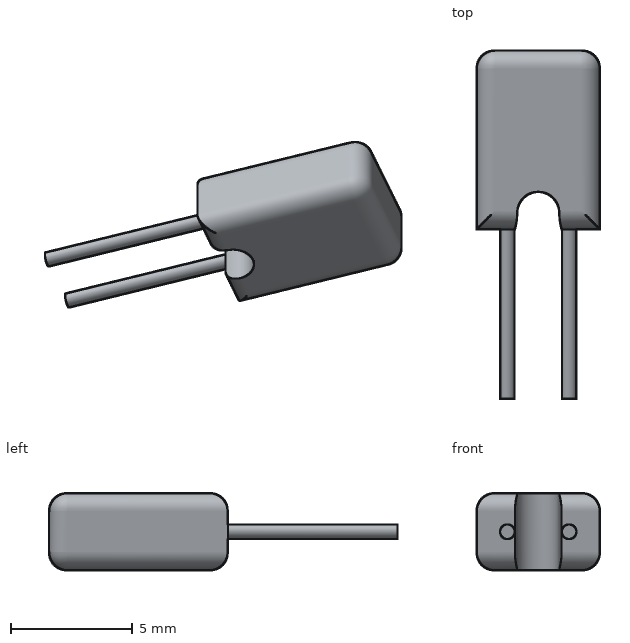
import cadquery as cq

total_length = 14.36
housing_width = 5.08
housing_length = 7.37
housing_height = 3.19
edge_radius = 0.75

notch_depth = 1.54
notch_radius = 0.86
notch_mouth_width = 1.92

lead_diameter = 0.6
lead_spacing = 2.54
lead_length = total_length - housing_length


def make_block():
    """Block with every edge rounded except the two upright front edges."""
    block = cq.Workplane("XY").box(
        housing_width, housing_length, housing_height, centered=(True, False, True)
    )
    upright_front_edges = block.faces("<Y").edges("|Z").vals()
    rounded_edges = [
        edge
        for edge in block.edges().vals()
        if not any(edge.isSame(sharp) for sharp in upright_front_edges)
    ]
    return block.newObject(rounded_edges).fillet(edge_radius)


def make_notch():
    """Round-ended cutter whose sides flare out in arcs towards the front face."""
    half_mouth = notch_mouth_width / 2
    arc_center_y = notch_depth - notch_radius
    flare_width = half_mouth - notch_radius
    flare_radius = (arc_center_y**2 + flare_width**2) / (2 * flare_width)
    return (
        cq.Workplane("XY")
        .workplane(offset=-housing_height / 2)
        .moveTo(half_mouth, 0)
        .radiusArc((notch_radius, arc_center_y), flare_radius)
        .threePointArc((0, notch_depth), (-notch_radius, arc_center_y))
        .radiusArc((-half_mouth, 0), flare_radius)
        .close()
        .extrude(housing_height)
    )


def make_housing():
    return make_block().cut(make_notch()).solids()


def make_lead(center_x):
    """Straight round lead butting against the front face."""
    return (
        cq.Workplane("XZ")
        .center(center_x, 0)
        .circle(lead_diameter / 2)
        .extrude(lead_length)
    )


housing = make_housing()
leads = [make_lead(side * lead_spacing / 2) for side in (-1, 1)]

result = cq.Compound.makeCompound([housing.val(), *[lead.val() for lead in leads]])